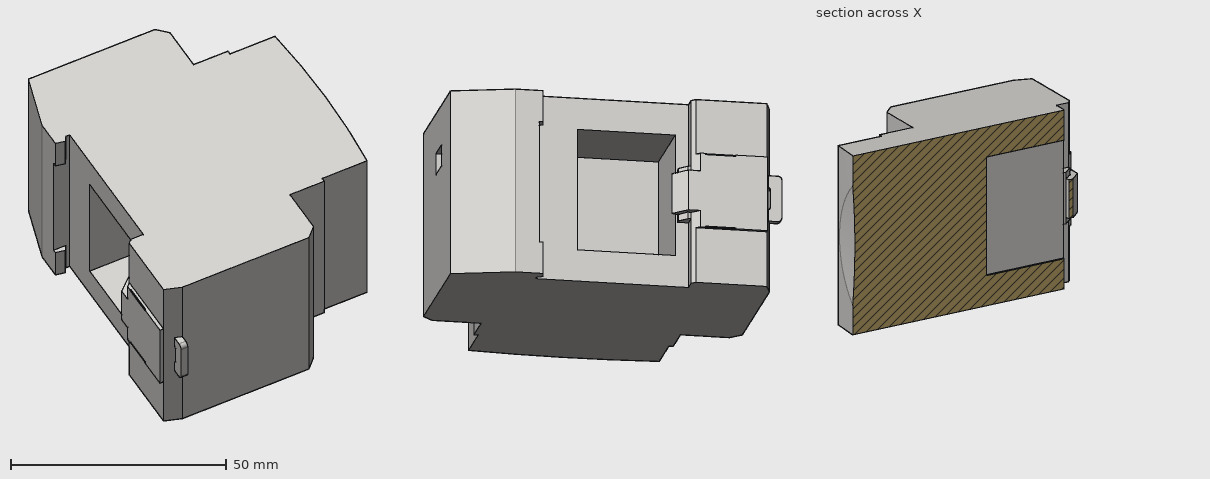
import cadquery as cq

overall_length = 78.0
overall_depth = 63.2
overall_height = 44.5

body_length = 75.35
body_center = body_length / 2
foot_level = 0.9
rail_floor = 5.15
shoulder_level = 41.1
shoulder_chamfer = 2.6
collar_half_width = 23.55
collar_level = 50.15
head_half_width = 22.55
head_edge_level = 62.0
trough_floor_level = 62.1
trough_half_width = 20.3

foot_slope_end = 14.5
foot_tip = 21.05
foot_nose = 21.5
foot_nose_level = 3.3
foot_root = 20.2
foot_root_level = 4.1

block_start = 56.2
block_chamfer_level = 1.9
block_chamfer_end = block_start + block_chamfer_level - foot_level
block_end = 73.95

window_start = 30.0
window_length = 23.1
window_height = 29.3
window_depth = 21.0

pocket_start = 16.2
pocket_length = 6.9
pocket_bottom = 7.4
pocket_height = 5.15
pocket_depth = 2.6

plate_start = block_start + block_chamfer_level
plate_height = 17.95
hook_height = 9.7
hook_center = -0.15
hook_tip = 52.0
hook_tip_level = 3.5
hook_bend = 55.2
hook_back = 53.5
hook_back_level = 4.2
hook_elbow = 55.4
relief_start = 59.35
relief_length = 7.1
relief_size = 0.2
tab_start = 53.7
tab_slope_level = 4.1
tab_flat_start = 55.5
tab_height = 12.8
pull_bottom = 3.35
pull_height = 11.1
pull_corner_radius = 1.0
notch_outer_width = 6.1
notch_inner_width = 4.5
notch_start = 74.5
notch_end = 75.3


def centered_prism(sketch, height):
    """Extrude a closed XY outline evenly to both sides of the mid plane."""
    return sketch.extrude(height / 2, both=True)


def corner_box(x, y, z, length, depth, height):
    """Box placed by its lowest corner."""
    return cq.Workplane("XY").box(length, depth, height, centered=False).translate((x, y, z))


def make_housing():
    outline = (
        cq.Workplane("XY")
        .moveTo(0, rail_floor)
        .lineTo(foot_slope_end, foot_level)
        .lineTo(foot_tip, foot_level)
        .lineTo(foot_nose, foot_nose_level)
        .lineTo(foot_root, foot_root_level)
        .lineTo(foot_root, rail_floor)
        .lineTo(block_start, rail_floor)
        .lineTo(block_start, block_chamfer_level)
        .lineTo(block_chamfer_end, foot_level)
        .lineTo(block_end, foot_level)
        .lineTo(body_length, rail_floor)
        .lineTo(body_length, shoulder_level - shoulder_chamfer)
        .lineTo(body_length - shoulder_chamfer, shoulder_level)
        .lineTo(body_center + collar_half_width, shoulder_level)
        .lineTo(body_center + collar_half_width, collar_level)
        .lineTo(body_center + head_half_width, collar_level)
        .lineTo(body_center + head_half_width, head_edge_level)
        .threePointArc((body_center, overall_depth), (body_center - head_half_width, head_edge_level))
        .lineTo(body_center - head_half_width, collar_level)
        .lineTo(body_center - collar_half_width, collar_level)
        .lineTo(body_center - collar_half_width, shoulder_level)
        .lineTo(shoulder_chamfer, shoulder_level)
        .lineTo(0, shoulder_level - shoulder_chamfer)
        .close()
    )
    return centered_prism(outline, overall_height)


def make_head_trough():
    """Shallow cylindrical hollow running along X across the bowed face."""
    return (
        cq.Workplane("YZ")
        .moveTo(overall_depth, -trough_half_width)
        .threePointArc((trough_floor_level, 0), (overall_depth, trough_half_width))
        .close()
        .extrude(body_length)
    )


def make_window():
    return corner_box(
        window_start, rail_floor, -window_height / 2, window_length, window_depth, window_height
    )


def make_foot_gap():
    """Clears the nose of the foot over the height of the window."""
    return corner_box(
        foot_root, 0, -window_height / 2, window_start - foot_root, rail_floor, window_height
    )


def make_wall_pocket():
    return corner_box(0, pocket_start, pocket_bottom, pocket_depth, pocket_length, pocket_height)


def make_latch_plate():
    outline = (
        cq.Workplane("XY")
        .moveTo(block_chamfer_end, foot_level)
        .lineTo(plate_start, 0)
        .lineTo(block_end, 0)
        .lineTo(block_end, foot_level)
        .close()
    )
    plate = centered_prism(outline, plate_height)
    for edge_z in (-plate_height / 2, plate_height / 2 - relief_size):
        plate = plate.cut(
            corner_box(relief_start, 0, edge_z, relief_length, relief_size, relief_size)
        )
    return plate


def make_latch_hook():
    outline = (
        cq.Workplane("XY")
        .moveTo(hook_tip, hook_tip_level)
        .lineTo(hook_bend, 0)
        .lineTo(plate_start, 0)
        .lineTo(block_chamfer_end, foot_level)
        .lineTo(block_start, block_chamfer_level)
        .lineTo(hook_elbow, block_chamfer_level)
        .lineTo(hook_back, hook_back_level)
        .close()
    )
    return centered_prism(outline, hook_height).translate((0, 0, hook_center))


def make_hook_tabs():
    """Block behind the hook whose ends stand out above and below it."""
    outline = (
        cq.Workplane("XY")
        .moveTo(tab_start, rail_floor)
        .lineTo(tab_start, tab_slope_level)
        .lineTo(tab_flat_start, block_chamfer_level)
        .lineTo(block_start, block_chamfer_level)
        .lineTo(block_start, rail_floor)
        .close()
    )
    return centered_prism(outline, tab_height).translate((0, 0, hook_center))


def make_pull():
    """Finger pull on the right wall, with rounded outer corners."""
    thickness = rail_floor - pull_bottom
    pull = corner_box(
        block_end, pull_bottom, -pull_height / 2, overall_length - block_end, thickness, pull_height
    )
    return pull.edges("|Y and >X").fillet(pull_corner_radius)


def make_pull_notch():
    """Tapered notch at the root of the pull, open toward the sloped wall."""
    return (
        cq.Workplane("XZ", origin=(0, rail_floor, 0))
        .moveTo(notch_start, -notch_outer_width / 2)
        .lineTo(notch_end, -notch_inner_width / 2)
        .lineTo(notch_end, notch_inner_width / 2)
        .lineTo(notch_start, notch_outer_width / 2)
        .close()
        .extrude(rail_floor - pull_bottom)
    )


housing = make_housing()
housing = housing.cut(make_head_trough())
housing = housing.cut(make_window())
housing = housing.cut(make_foot_gap())
housing = housing.cut(make_wall_pocket())

pull = make_pull().cut(make_pull_notch())

result = housing.union(make_latch_plate())
result = result.union(make_hook_tabs())
result = result.union(make_latch_hook())
result = result.union(pull)